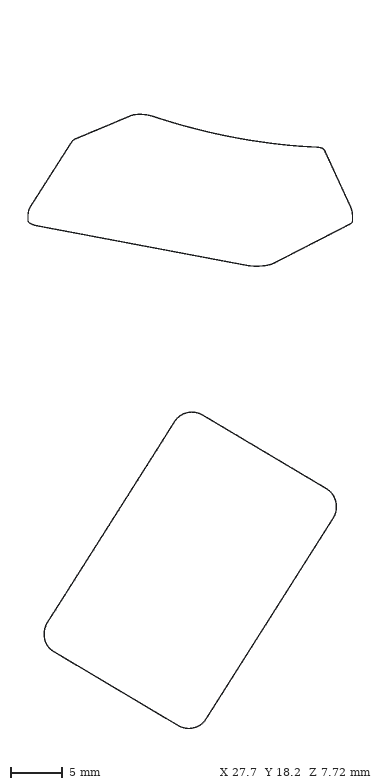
import cadquery as cq
import math

length = 27.7
width = 18.16
skirt_height = 0.66
knee_height = 1.3
blank_height = 8.58

end_lean = 0.46
front_lean = 0.52
back_lean = 0.1

skirt_corner_radius = 1.97
blank_corner_radius = 1.83

dish_radius = 70.33
dish_floor_height = 6.7
top_slope = 0.056
rim_radius = 0.4

tilt_angle = math.atan(top_slope)
tilt_degrees = math.degrees(tilt_angle)


def wall_inset(lean, height):
    """Distance a wall has moved inward at a height: a tangent arc, then straight."""
    arc_radius = (knee_height - skirt_height) / math.sin(math.atan(lean))
    rise = min(height, knee_height) - skirt_height
    arc_inset = arc_radius - math.sqrt(arc_radius**2 - rise**2)
    return arc_inset + lean * max(0, height - knee_height)


def rounded_rectangle(half_length, depth, corner_radius):
    return cq.Sketch().rect(2 * half_length, depth).vertices().fillet(corner_radius)


def level_section(height):
    """Horizontal section of the skirt or knee at a height."""
    half_length = length / 2 - wall_inset(end_lean, height)
    front = -width / 2 + wall_inset(front_lean, height)
    back = width / 2 - wall_inset(back_lean, height)
    section = rounded_rectangle(half_length, back - front, skirt_corner_radius)
    return section.moved(cq.Location(cq.Vector(0, (front + back) / 2, height)))


def tilted_section():
    """Section on the tilted blank top, where it meets the front and back walls."""
    half_length = length / 2 - wall_inset(end_lean, blank_height)
    front = (-width / 2 + wall_inset(front_lean, blank_height)) / (1 + front_lean * top_slope)
    back = (width / 2 - wall_inset(back_lean, blank_height)) / (1 - back_lean * top_slope)
    middle = (front + back) / 2
    section = rounded_rectangle(
        half_length, (back - front) / math.cos(tilt_angle), blank_corner_radius
    )
    center = cq.Vector(0, middle, blank_height - top_slope * middle)
    return section.moved(cq.Location(center, cq.Vector(1, 0, 0), -tilt_degrees))


skirt = (
    cq.Workplane("XY")
    .placeSketch(rounded_rectangle(length / 2, width, skirt_corner_radius))
    .extrude(skirt_height)
)

knee_middle = (skirt_height + knee_height) / 2
knee_sections = [level_section(height) for height in (skirt_height, knee_middle, knee_height)]
knee = cq.Workplane("XY").placeSketch(*knee_sections).loft()

walls = (
    cq.Workplane("XY")
    .placeSketch(level_section(knee_height), tilted_section())
    .loft(ruled=True)
)
blank = skirt.union(knee).union(walls)

dish = (
    cq.Workplane("XZ")
    .center(0, dish_floor_height + dish_radius)
    .circle(dish_radius)
    .extrude(length, both=True)
    .rotate((0, 0, dish_floor_height), (1, 0, dish_floor_height), -tilt_degrees)
)
cap = blank.cut(dish)

result = cap.faces(">Z").edges().fillet(rim_radius)